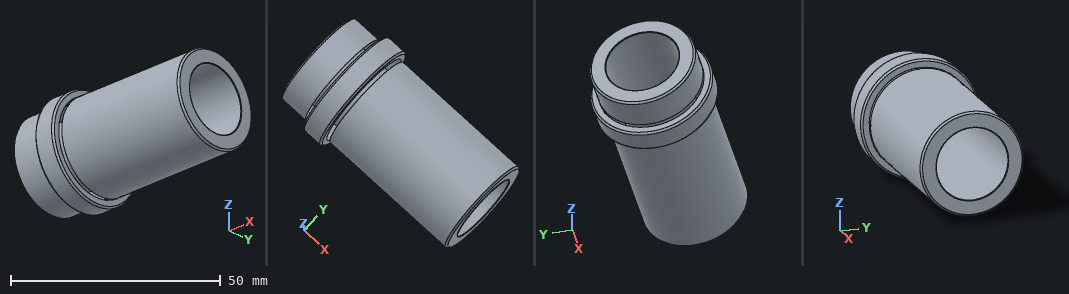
import cadquery as cq

length = 54.0
body_diameter = 26.0
collar_diameter = 30.0
bore_diameter = 18.0

collar_start = 9.0
collar_width = 6.0

outer_chamfer = 0.5
bore_chamfer = 0.15
groove_radius = 0.5


def cylinder(diameter, start, width):
    """Solid cylinder along X, from start (measured from the -X end face)."""
    plane = cq.Workplane("YZ", origin=(start - length / 2, 0, 0))
    return plane.circle(diameter / 2).extrude(width)


def relief_groove(center):
    """Ring that cuts a half-round groove into the body surface."""
    return (
        cq.Workplane("XY")
        .center(center - length / 2, body_diameter / 2)
        .circle(groove_radius)
        .revolve(360, (0, -body_diameter / 2, 0), (1, -body_diameter / 2, 0))
    )


body = cylinder(body_diameter, 0, length).edges().chamfer(outer_chamfer)
bore = cylinder(bore_diameter, 0, length)
body = body.cut(bore)
bore_edges = cq.selectors.RadiusNthSelector(0)
body = body.faces("<X or >X").edges(bore_edges).chamfer(bore_chamfer)

collar_end = collar_start + collar_width
for groove_center in (collar_start - groove_radius, collar_end + groove_radius):
    body = body.cut(relief_groove(groove_center))

collar = cylinder(collar_diameter, collar_start, collar_width).edges().chamfer(outer_chamfer)
result = body.union(collar.cut(bore))